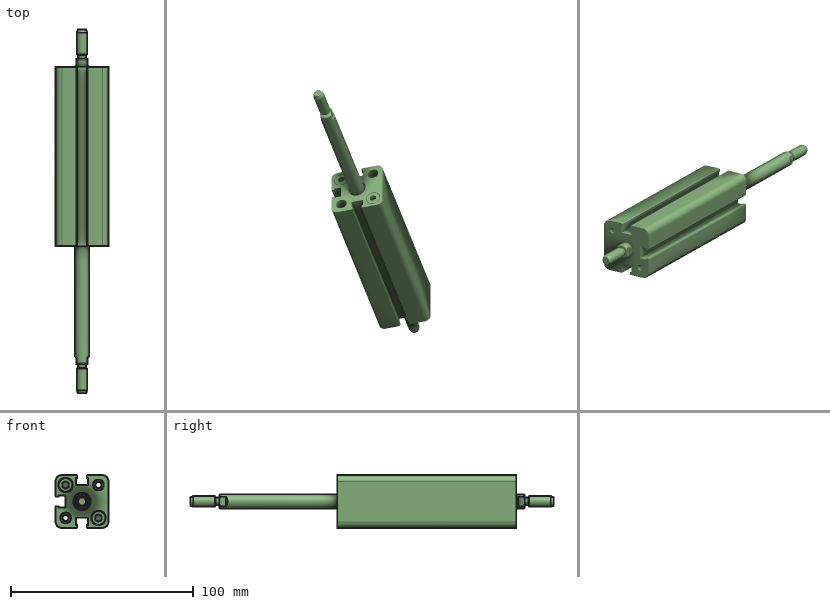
import cadquery as cq
import math

BODY_SIDE = 29.05
BODY_LENGTH = 98.0
CORNER_RADIUS = 3.5

SLOT_DEPTH = 5.5
SLOT_MOUTH_WIDTH = 5.1
SLOT_INNER_WIDTH = 6.5
SLOT_LIP = 1.7
MOUTH_BEVEL_WIDTH = 0.5
MOUTH_BEVEL_DEPTH = 0.25

HOLE_PITCH = 18.0
THROUGH_HOLE_DIAMETER = 3.24
COUNTERBORE_DIAMETER = 6.0
COUNTERBORE_DEPTH = 12.0
SCREW_POCKET_DIAMETER = 8.0
SCREW_HEAD_DIAMETER = 7.5
SCREW_HEAD_HEIGHT = 4.0
SOCKET_ACROSS_CORNERS = 4.13
SOCKET_DEPTH = 3.0
SOCKET_TURN = 30.0

ROD_RECESS_DIAMETER = 9.6
ROD_RECESS_DEPTH = 2.0

ROD_DIAMETER = 8.0
ROD_OVERALL_LENGTH = 199.0
ROD_REAR_REACH = 20.5
THREAD_DIAMETER = 6.0
NECK_DIAMETER = 4.4
NECK_LENGTH = 2.5
NECK_TAPER_LENGTH = 0.5
END_LENGTH = 16.0
TIP_CHAMFER_LENGTH = 1.8
TIP_DIAMETER = 4.4
SHOULDER_RADIUS = 0.95
FLAT_WIDTH = 6.1
FLAT_LENGTH = 3.6

HALF_SIDE = BODY_SIDE / 2
HALF_PITCH = HOLE_PITCH / 2
ROD_RADIUS = ROD_DIAMETER / 2
ROD_REAR_Y = BODY_LENGTH + ROD_REAR_REACH
ROD_FRONT_Y = ROD_REAR_Y - ROD_OVERALL_LENGTH
ROD_MIDDLE_Y = (ROD_FRONT_Y + ROD_REAR_Y) / 2


def front_face_plane():
    """Plane on the front face: local x is X, local y is Z, normal is -Y."""
    return cq.Workplane("XZ")


def sensor_slot(angle):
    """Cutter for a slot opening at +Z, turned about Y by the given angle."""
    floor_z = HALF_SIDE - SLOT_DEPTH
    lip_z = HALF_SIDE - SLOT_LIP
    bevel_z = HALF_SIDE - MOUTH_BEVEL_DEPTH
    inner_x = SLOT_INNER_WIDTH / 2
    mouth_x = SLOT_MOUTH_WIDTH / 2
    right_side = [
        (inner_x, floor_z),
        (inner_x, lip_z),
        (mouth_x, lip_z),
        (mouth_x, bevel_z),
        (mouth_x + MOUTH_BEVEL_WIDTH, HALF_SIDE),
    ]
    left_side = [(-x, z) for x, z in reversed(right_side)]
    slot = front_face_plane().polyline(right_side + left_side).close().extrude(-BODY_LENGTH)
    return slot.rotate((0, 0, 0), (0, 1, 0), angle)


def make_body():
    body = front_face_plane().rect(BODY_SIDE, BODY_SIDE).extrude(-BODY_LENGTH)
    body = body.edges("|Y").fillet(CORNER_RADIUS)
    for angle in (0, 180, -90):
        body = body.cut(sensor_slot(angle))
    return body


def cut_through_holes(body):
    """Counterbored through holes on one diagonal."""
    corners = [(HALF_PITCH, HALF_PITCH), (-HALF_PITCH, -HALF_PITCH)]
    holes = front_face_plane().pushPoints(corners)
    body = body.cut(holes.circle(THROUGH_HOLE_DIAMETER / 2).extrude(-BODY_LENGTH))
    return body.cut(holes.circle(COUNTERBORE_DIAMETER / 2).extrude(-COUNTERBORE_DEPTH))


def sink_cap_screws(body):
    """Flush hexagon socket screw heads, each inside a narrow ring gap, on the other diagonal."""
    corners = [(-HALF_PITCH, HALF_PITCH), (HALF_PITCH, -HALF_PITCH)]
    gap = front_face_plane().pushPoints(corners).circle(SCREW_POCKET_DIAMETER / 2)
    gap = gap.circle(SCREW_HEAD_DIAMETER / 2).extrude(-SCREW_HEAD_HEIGHT)
    body = body.cut(gap)
    for x, z in corners:
        socket = front_face_plane().polygon(6, SOCKET_ACROSS_CORNERS).extrude(-SOCKET_DEPTH)
        socket = socket.rotate((0, 0, 0), (0, 1, 0), SOCKET_TURN)
        body = body.cut(socket.translate((x, 0, z)))
    return body


def cut_rod_recess(body):
    recess = front_face_plane().circle(ROD_RECESS_DIAMETER / 2).extrude(-ROD_RECESS_DEPTH)
    return body.cut(recess)


def wrench_flat():
    """Cutter for the flat on the -X side of the front rod end, with a 45 degree run-out."""
    shoulder_y = ROD_FRONT_Y + END_LENGTH
    flat_x = -FLAT_WIDTH / 2
    flat_end_y = shoulder_y + FLAT_LENGTH
    depth = ROD_RADIUS - FLAT_WIDTH / 2
    outline = [
        (flat_x, shoulder_y),
        (flat_x, flat_end_y),
        (flat_x - depth, flat_end_y + depth),
        (flat_x - depth, shoulder_y),
    ]
    return cq.Workplane("XY").polyline(outline).close().extrude(ROD_RADIUS, both=True)


def make_rod_half():
    """Front half of the rod, from its threaded tip to its middle."""
    shoulder_y = ROD_FRONT_Y + END_LENGTH
    thread_end_y = shoulder_y - NECK_LENGTH
    tip_chamfer_y = ROD_FRONT_Y + TIP_CHAMFER_LENGTH
    neck_start_y = thread_end_y + NECK_TAPER_LENGTH
    thread_radius = THREAD_DIAMETER / 2
    neck_radius = NECK_DIAMETER / 2
    rounding_offset = SHOULDER_RADIUS * (1 - math.sqrt(0.5))
    outline = (
        cq.Workplane("XY")
        .moveTo(0, ROD_FRONT_Y)
        .lineTo(TIP_DIAMETER / 2, ROD_FRONT_Y)
        .lineTo(thread_radius, tip_chamfer_y)
        .lineTo(thread_radius, thread_end_y)
        .lineTo(neck_radius, neck_start_y)
        .lineTo(neck_radius, shoulder_y)
        .lineTo(ROD_RADIUS - SHOULDER_RADIUS, shoulder_y)
        .threePointArc(
            (ROD_RADIUS - rounding_offset, shoulder_y + rounding_offset),
            (ROD_RADIUS, shoulder_y + SHOULDER_RADIUS),
        )
        .lineTo(ROD_RADIUS, ROD_MIDDLE_Y)
        .lineTo(0, ROD_MIDDLE_Y)
        .close()
    )
    half = outline.revolve(360, (0, 0), (0, 1))
    flat = wrench_flat()
    return half.cut(flat).cut(flat.mirror("YZ"))


def make_rod():
    half = make_rod_half()
    return half.union(half.mirror("XZ", (0, ROD_MIDDLE_Y, 0)))


body = make_body()
body = cut_through_holes(body)
body = sink_cap_screws(body)
body = cut_rod_recess(body)
result = body.union(make_rod())